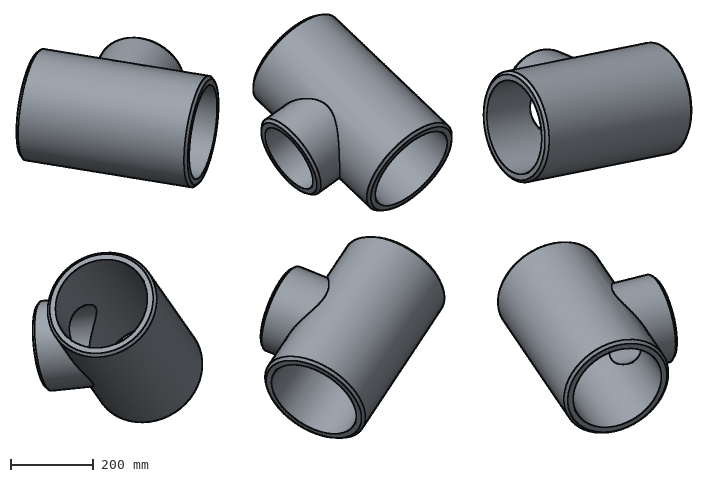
import cadquery as cq

run_length = 431.8
run_diameter = 273.05
branch_reach = 203.2
branch_diameter = 219.075
wall = 21.44
bevel = wall / 3


def run_cylinder(diameter):
    """Cylinder along X over the full run length, centred on the origin."""
    return cq.Workplane("YZ").circle(diameter / 2).extrude(run_length / 2, both=True)


def branch_cylinder(diameter):
    """Cylinder along +Y from the run axis to the branch end face."""
    return cq.Workplane("XZ").circle(diameter / 2).extrude(-branch_reach)


run_body = run_cylinder(run_diameter).faces("<X or >X").chamfer(bevel)
branch_body = branch_cylinder(branch_diameter).faces(">Y").chamfer(bevel)

run_bore = run_cylinder(run_diameter - 2 * wall)
branch_bore = branch_cylinder(branch_diameter - 2 * wall)

result = run_body.union(branch_body).cut(run_bore).cut(branch_bore)